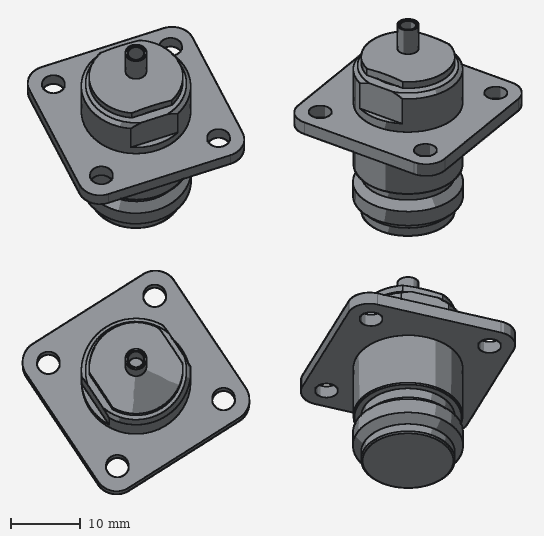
import cadquery as cq

total_height = 32.02
tube_base_z = 27.95
disc_edge_z = 26.58
disc_bottom_z = 25.5
body_top_z = 25.0
wrench_flat_bottom_z = 20.1
flange_top_z = 18.7
flange_thickness = 2.02
body_bottom_z = 7.95
collar_cone_top_z = 6.35
collar_top_z = 5.12
collar_bottom_z = 2.72
collar_cone_bottom_z = 1.55

tube_radius = 1.55
bore_radius = 1.15
disc_radius = 6.75
neck_radius = 5.57
body_radius = 7.88
collar_radius = 7.95
nose_radius = 6.75

body_top_chamfer = 0.6
body_bottom_chamfer = 0.2
nose_chamfer = 0.22
bore_chamfer = 0.13

flange_side = 25.4
flange_corner_radius = 3.2
hole_pitch = 18.22
hole_diameter = 3.3

disc_flat_width = 12.0
body_flat_width = 13.95
bore_depth = total_height - tube_base_z


def make_turned_body():
    """Revolve the half profile of all round sections about Z."""
    profile = [
        (0, 0),
        (nose_radius - nose_chamfer, 0),
        (nose_radius, nose_chamfer),
        (nose_radius, collar_cone_bottom_z),
        (collar_radius, collar_bottom_z),
        (collar_radius, collar_top_z),
        (nose_radius, collar_cone_top_z),
        (nose_radius, body_bottom_z),
        (body_radius - body_bottom_chamfer, body_bottom_z),
        (body_radius, body_bottom_z + body_bottom_chamfer),
        (body_radius, body_top_z - body_top_chamfer),
        (body_radius - body_top_chamfer, body_top_z),
        (neck_radius, body_top_z),
        (neck_radius, disc_bottom_z),
        (disc_radius, disc_bottom_z),
        (disc_radius, disc_edge_z),
        (tube_radius, tube_base_z),
        (tube_radius, total_height),
        (0, total_height),
    ]
    return cq.Workplane("XZ").polyline(profile).close().revolve(360, (0, 0, 0), (0, 1, 0))


def cut_flats(part, width, bottom_z, top_z):
    """Trim the part to the given X width between two heights."""
    height = top_z - bottom_z
    reach = 2 * body_radius
    for side in (-1, 1):
        cutter = cq.Workplane("XY").box(reach, 2 * reach, height, centered=(True, True, False))
        part = part.cut(cutter.translate((side * (width + reach) / 2, 0, bottom_z)))
    return part


def make_flange():
    """Square mounting plate with rounded corners and four through holes."""
    return (
        cq.Workplane("XY")
        .workplane(offset=flange_top_z - flange_thickness)
        .rect(flange_side, flange_side)
        .extrude(flange_thickness)
        .edges("|Z")
        .fillet(flange_corner_radius)
        .faces(">Z")
        .workplane()
        .rect(hole_pitch, hole_pitch, forConstruction=True)
        .vertices()
        .hole(hole_diameter)
    )


def make_bore():
    """Blind bore of the tube, with a chamfered mouth."""
    profile = [
        (0, total_height - bore_depth),
        (bore_radius, total_height - bore_depth),
        (bore_radius, total_height - bore_chamfer),
        (bore_radius + bore_chamfer, total_height),
        (0, total_height),
    ]
    return cq.Workplane("XZ").polyline(profile).close().revolve(360, (0, 0, 0), (0, 1, 0))


turned = make_turned_body()
turned = cut_flats(turned, body_flat_width, wrench_flat_bottom_z, body_top_z)
turned = cut_flats(turned, disc_flat_width, disc_bottom_z, tube_base_z)
result = turned.union(make_flange()).cut(make_bore())